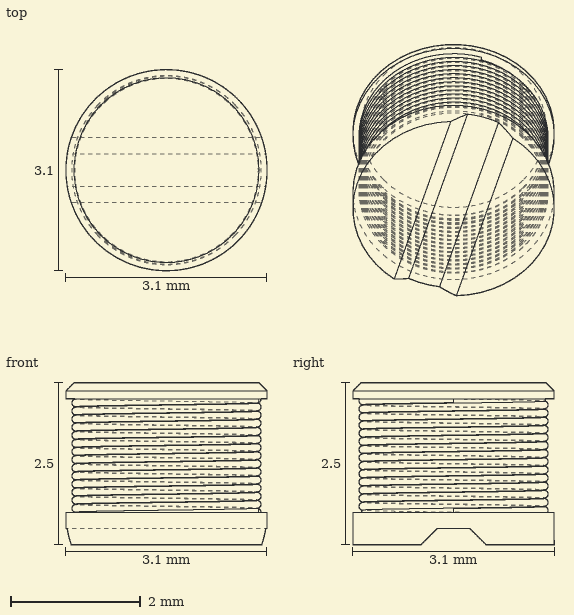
import cadquery as cq

outer_radius = 1.55
total_height = 2.5

base_height = 0.5
flange_height = 0.25
flange_chamfer = 0.127

winding_height = total_height - base_height - flange_height
turns = 14
pitch = winding_height / turns
winding_radius = 1.457
turn_gap = 0.003
wire_radius = (pitch - turn_gap) / 2
helix_radius = winding_radius - wire_radius
groove_depth = 0.043
core_radius = winding_radius - groove_depth

channel_depth = 0.25
channel_top_width = 0.5
channel_bottom_width = channel_top_width + 2 * channel_depth


def make_base():
    """Round base with the channel running through it along X."""
    disc = cq.Workplane("XY").circle(outer_radius).extrude(base_height)
    channel = (
        cq.Workplane("YZ")
        .moveTo(-channel_bottom_width / 2, 0)
        .lineTo(-channel_top_width / 2, channel_depth)
        .lineTo(channel_top_width / 2, channel_depth)
        .lineTo(channel_bottom_width / 2, 0)
        .close()
        .extrude(outer_radius, both=True)
    )
    return disc.cut(channel)


def make_flange():
    """Top disc with a chamfered upper rim."""
    return (
        cq.Workplane("XY", origin=(0, 0, total_height - flange_height))
        .circle(outer_radius)
        .extrude(flange_height)
        .faces(">Z")
        .chamfer(flange_chamfer)
    )


def make_core():
    """Solid cylinder that fills the inside of the winding."""
    return cq.Workplane("XY", origin=(0, 0, base_height)).circle(core_radius).extrude(winding_height)


def make_wire():
    """Right-handed coil of round wire; both ends are half sunk in the discs."""
    path = cq.Wire.makeHelix(pitch, winding_height, helix_radius, center=cq.Vector(0, 0, base_height))
    return (
        cq.Workplane("XZ", origin=(0, 0, base_height))
        .center(helix_radius, 0)
        .circle(wire_radius)
        .sweep(cq.Workplane(obj=path), isFrenet=True)
    )


result = make_core().union(make_wire()).union(make_base()).union(make_flange())